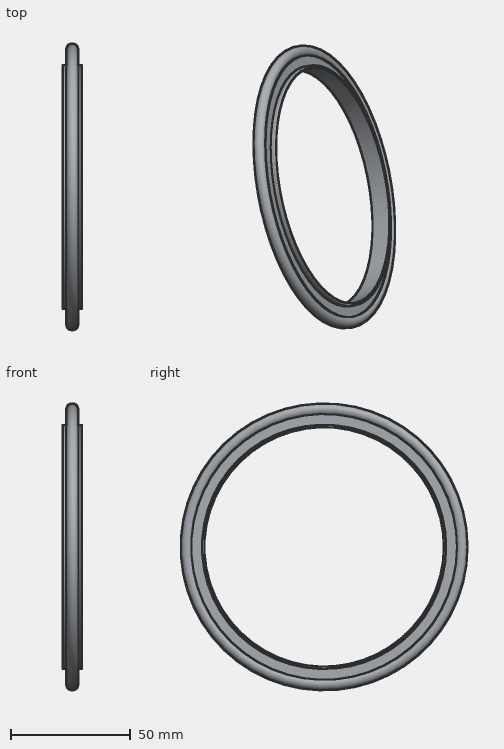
import cadquery as cq

outer_diameter = 119.9
ring_width = 8.0

bore_diameter = 100.0
sleeve_diameter = 102.0
web_diameter = 111.0
web_width = 3.8
sleeve_edge_round = 0.3

cord_diameter = 5.0
cord_radius = cord_diameter / 2
cord_center_radius = outer_diameter / 2 - cord_radius


def disc(diameter, width):
    """Solid cylinder about the X axis, centered on the YZ plane."""
    return cq.Workplane("YZ").circle(diameter / 2).extrude(width / 2, both=True)


def make_o_ring():
    """Round cord swept around the X axis."""
    return (
        cq.Workplane("XY")
        .center(0, cord_center_radius)
        .circle(cord_radius)
        .revolve(360, (0, -cord_center_radius, 0), (1, -cord_center_radius, 0))
    )


def make_centering_ring():
    """Thin sleeve with a central web whose rim is hollowed to seat the O-ring."""
    sleeve = disc(sleeve_diameter, ring_width).faces("<X or >X").edges().fillet(sleeve_edge_round)
    web = disc(web_diameter, web_width)
    bore = disc(bore_diameter, ring_width)
    return sleeve.union(web).cut(bore).cut(make_o_ring())


centering_ring = make_centering_ring()
o_ring = make_o_ring()

result = cq.Compound.makeCompound([centering_ring.val(), o_ring.val()])